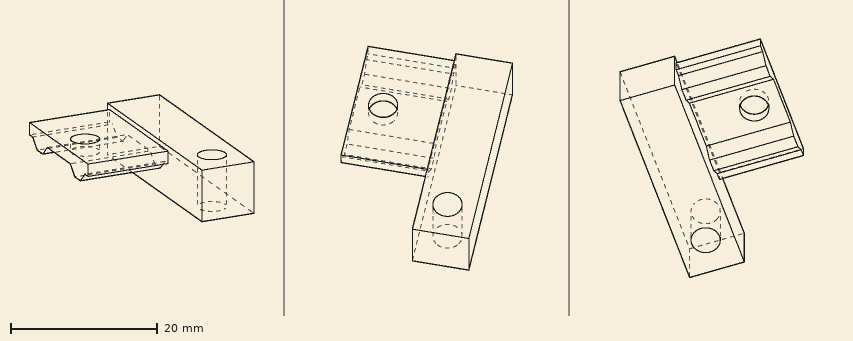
import cadquery as cq

length = 30.0
total_depth = 20.0
height = 7.5

block_depth = 7.9
plate_depth = total_depth - block_depth
plate_left = 0.65
plate_width = 18.6
plate_thickness = 1.8
plate_top = height - 0.72
plate_bottom = plate_top - plate_thickness
plate_center = plate_left + plate_width / 2

rib_height = 1.45
rib_tip_width = 1.8
rib_root_width = rib_tip_width + 2 * rib_height
rib_margin = 1.0
rib_offset = plate_width / 2 - rib_margin - rib_root_width / 2

hole_diameter = 4.0
hole_edge_distance = 4.0
block_hole_x = 25.0


def make_rib(center_x):
    """Trapezoidal rib running along the full depth of the plate."""
    return (
        cq.Workplane("XZ")
        .moveTo(center_x - rib_root_width / 2, plate_bottom)
        .lineTo(center_x - rib_tip_width / 2, plate_bottom - rib_height)
        .lineTo(center_x + rib_tip_width / 2, plate_bottom - rib_height)
        .lineTo(center_x + rib_root_width / 2, plate_bottom)
        .close()
        .extrude(-plate_depth)
    )


def make_hole(x, y):
    """Vertical cylinder through the full height."""
    return cq.Workplane("XY").center(x, y).circle(hole_diameter / 2).extrude(height)


block = cq.Workplane("XY").box(length, block_depth, height, centered=False)
block = block.translate((0, plate_depth, 0))

plate = cq.Workplane("XY").box(plate_width, plate_depth, plate_thickness, centered=False)
plate = plate.translate((plate_left, 0, plate_bottom))

result = block.union(plate)
for side in (-1, 1):
    result = result.union(make_rib(plate_center + side * rib_offset))

result = result.cut(make_hole(block_hole_x, total_depth - hole_edge_distance))
result = result.cut(make_hole(plate_center, hole_edge_distance))